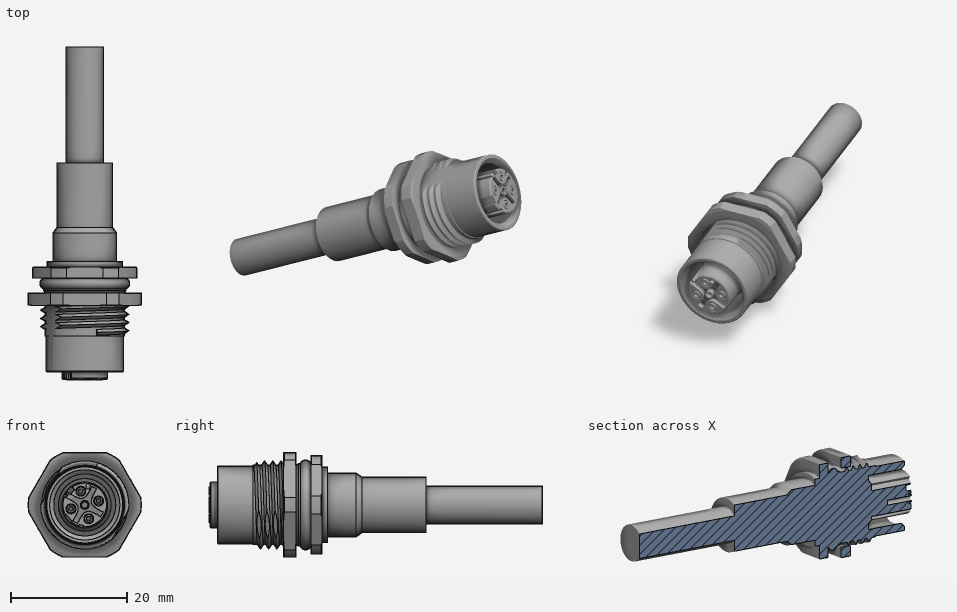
import cadquery as cq
import math


INSERT_FACE = 0.1
SLEEVE_FACE = 1.4
RELIEF_START = 7.55
CAVITY_FLOOR = 9.0
NUT_START, NUT_END = 12.8, 14.95
COLLAR_START, COLLAR_END = 17.55, 19.45
DISC_END = 20.4
BODY_STEP, BODY_END = 25.3, 26.3
GRIP_END = 37.4
CABLE_END = 57.4

CABLE_RADIUS = 3.25
GRIP_RADIUS = 4.8
BODY_RADIUS = 5.5
DISC_RADIUS = 6.5
NECK_RADIUS = 7.1
NECK_TAPER_LENGTH = 0.45
THREAD_ROOT_RADIUS = 6.85
SLEEVE_RADIUS = 6.7
SLEEVE_EDGE_CHAMFER = 0.15

SEAL_OUTER_RADIUS = 7.75
SEAL_SECTION_RADIUS = 0.95
SEAL_CENTRE = COLLAR_START - SEAL_SECTION_RADIUS

NUT_FLATS, NUT_CORNER_RADIUS = 18.0, 9.75
NUT_FACE_RADIUS, NUT_FACE_BEVEL = 9.1, 0.15
NUT_BORE_RADIUS = 7.45
COLLAR_FLATS, COLLAR_CORNER_RADIUS = 17.0, 9.05
COLLAR_BEVEL = 0.2

THREAD_RADIUS = 7.6
THREAD_PITCH = 1.41
THREAD_START, THREAD_END = 8.2, 14.2
THREAD_START_ANGLE = 73.0
THREAD_BASE_WIDTH = 1.2
THREAD_OVERLAP = 0.15

FLAT_ANGLE = 151.0
NEAR_FLAT_DISTANCE = 6.65
FAR_FLAT_DISTANCE = 7.05

MOUTH_RADIUS, BORE_RADIUS = 6.05, 5.35
MOUTH_DEPTH = 0.8
INSERT_RADIUS = 3.95
INSERT_EDGE_CHAMFER = 0.2
INSERT_FOOT_RADIUS, INSERT_FOOT_HEIGHT = 4.55, 0.6
CONTACT_COUNT = 4
CONTACT_CIRCLE_RADIUS = 2.47
CONTACT_FIRST_ANGLE = 16.0
CONTACT_WELL_RADIUS, CONTACT_WELL_DEPTH = 0.85, 0.4
CONTACT_RADIUS = 0.7
CONTACT_HOLE_RADIUS, CONTACT_HOLE_DEPTH = 0.4, 5.0
CROSS_ARM_LENGTH, CROSS_ARM_WIDTH = 3.4, 0.9
CROSS_HUB_RADIUS = 2.0
CROSS_DEPTH = 1.0
CONTACT_TOWER_RADIUS = 1.25
POST_RADIUS = 0.75
POST_HOLE_RADIUS = 0.55
GROOVES = [(134.0, 1.2, 3.1), (155.0, 0.5, 3.5), (220.0, 1.6, 3.5), (260.0, 0.8, 3.5)]
POCKET_ANGLE, POCKET_WIDTH, POCKET_DEPTH = 80.0, 0.7, 1.0
POCKET_INNER, POCKET_OUTER = 2.8, 3.7


def cylinder(radius, start, end):
    """Solid cylinder on the Y axis."""
    return cq.Workplane("XZ", origin=(0, start, 0)).circle(radius).extrude(start - end)


def cone(start_radius, end_radius, start, end):
    """Solid truncated cone on the Y axis."""
    profile = [(0, start), (start_radius, start), (end_radius, end), (0, end)]
    return cq.Workplane("XY").polyline(profile).close().revolve(360, (0, 0, 0), (0, 1, 0))


def hexagon(across_flats, start, end):
    """Hexagonal prism with two flats facing +Z and -Z."""
    across_corners = across_flats / math.cos(math.pi / 6)
    return cq.Workplane("XZ", origin=(0, start, 0)).polygon(6, across_corners).extrude(start - end)


def turned_about_axis(shape, angle):
    """Turn a shape from +X towards +Z about the Y axis."""
    return shape.rotate((0, 0, 0), (0, 1, 0), -angle)


def bar(inner, outer, width, start, end):
    """Block reaching along +X from inner to outer, centred on Z = 0."""
    block = cq.Workplane("XY").box(outer - inner, end - start, width, centered=(False, False, True))
    return block.translate((inner, start, 0))


def cable_end():
    body = cylinder(CABLE_RADIUS, GRIP_END, CABLE_END)
    body = body.union(cylinder(GRIP_RADIUS, BODY_END, GRIP_END))
    body = body.union(cone(BODY_RADIUS, GRIP_RADIUS, BODY_STEP, BODY_END))
    body = body.union(cylinder(BODY_RADIUS, DISC_END, BODY_STEP))
    return body.union(cylinder(DISC_RADIUS, COLLAR_END, DISC_END))


def collar():
    rounding = cylinder(COLLAR_CORNER_RADIUS, COLLAR_START, COLLAR_END).faces(">Y").chamfer(COLLAR_BEVEL)
    return hexagon(COLLAR_FLATS, COLLAR_START, COLLAR_END).intersect(rounding)


def seal_ring():
    section_centre = SEAL_OUTER_RADIUS - SEAL_SECTION_RADIUS
    section = cq.Workplane("XY").center(-section_centre, SEAL_CENTRE).circle(SEAL_SECTION_RADIUS)
    return section.revolve(360, (section_centre, 0, 0), (section_centre, 1, 0))


def nut():
    bevel_end = NUT_START + NUT_FACE_BEVEL
    rounding = cone(NUT_FACE_RADIUS, NUT_CORNER_RADIUS, NUT_START, bevel_end)
    rounding = rounding.union(cylinder(NUT_CORNER_RADIUS, bevel_end, NUT_END))
    body = hexagon(NUT_FLATS, NUT_START, NUT_END).intersect(rounding)
    return body.cut(cylinder(NUT_BORE_RADIUS, NUT_START, NUT_END))


def thread():
    """Right-hand triangular ridge, wound on Z and then laid along Y."""
    inner_radius = THREAD_ROOT_RADIUS - THREAD_OVERLAP
    half_width = THREAD_BASE_WIDTH / 2
    path = cq.Wire.makeHelix(THREAD_PITCH, THREAD_END - THREAD_START, inner_radius)
    ridge = (
        cq.Workplane("XZ")
        .polyline([(inner_radius, -half_width), (THREAD_RADIUS, 0), (inner_radius, half_width)])
        .close()
        .sweep(cq.Workplane(obj=path), isFrenet=True)
    )
    ridge = ridge.rotate((0, 0, 0), (1, 0, 0), -90).translate((0, THREAD_START, 0))
    return turned_about_axis(ridge, THREAD_START_ANGLE)


def cut_flats(shape):
    """Remove everything beyond the two flats."""
    for angle, distance in [(FLAT_ANGLE, NEAR_FLAT_DISTANCE), (FLAT_ANGLE + 180, FAR_FLAT_DISTANCE)]:
        flat = bar(distance, 2 * THREAD_RADIUS, 2 * THREAD_RADIUS, 0, COLLAR_START)
        shape = shape.cut(turned_about_axis(flat, angle))
    return shape


def barrel():
    """Sleeve and threaded length, with the flats cut along both."""
    core = cylinder(SLEEVE_RADIUS, SLEEVE_FACE, RELIEF_START).faces("<Y").chamfer(SLEEVE_EDGE_CHAMFER)
    core = core.union(cylinder(THREAD_ROOT_RADIUS, RELIEF_START, NUT_END))
    body = cut_flats(core).union(cut_flats(thread()))
    taper_end = NUT_END + NECK_TAPER_LENGTH
    body = body.union(cone(THREAD_ROOT_RADIUS, NECK_RADIUS, NUT_END, taper_end))
    return body.union(cylinder(NECK_RADIUS, taper_end, COLLAR_START))


def cavity():
    mouth_end = SLEEVE_FACE + MOUTH_DEPTH
    mouth = cone(MOUTH_RADIUS, BORE_RADIUS, SLEEVE_FACE, mouth_end)
    return mouth.union(cylinder(BORE_RADIUS, mouth_end, CAVITY_FLOOR))


def at_contacts(shape):
    """Copies of an axial shape at every contact place."""
    copies = cq.Workplane("XY")
    for index in range(CONTACT_COUNT):
        angle = CONTACT_FIRST_ANGLE + index * 360 / CONTACT_COUNT
        copies = copies.add(turned_about_axis(shape.translate((CONTACT_CIRCLE_RADIUS, 0, 0)), angle))
    return copies.combine()


def cross_recess():
    """Cross between the contacts, scalloped around each contact tower."""
    end = INSERT_FACE + CROSS_DEPTH
    recess = cylinder(CROSS_HUB_RADIUS, INSERT_FACE, end)
    recess = recess.cut(at_contacts(cylinder(CONTACT_TOWER_RADIUS, INSERT_FACE, end)))
    for index in range(CONTACT_COUNT):
        angle = CONTACT_FIRST_ANGLE + (index + 0.5) * 360 / CONTACT_COUNT
        arm = bar(0, CROSS_ARM_LENGTH, CROSS_ARM_WIDTH, INSERT_FACE, end)
        recess = recess.union(turned_about_axis(arm, angle))
    return recess


def insert():
    body = cylinder(INSERT_RADIUS, INSERT_FACE, CAVITY_FLOOR).faces("<Y").chamfer(INSERT_EDGE_CHAMFER)
    for angle, width, floor in GROOVES:
        groove = bar(floor, 2 * INSERT_RADIUS, width, INSERT_FACE, CAVITY_FLOOR)
        body = body.cut(turned_about_axis(groove, angle))
    pocket = bar(POCKET_INNER, POCKET_OUTER, POCKET_WIDTH, INSERT_FACE, INSERT_FACE + POCKET_DEPTH)
    body = body.cut(turned_about_axis(pocket, POCKET_ANGLE))
    foot_start = CAVITY_FLOOR - INSERT_FOOT_HEIGHT
    body = body.union(cone(INSERT_RADIUS, INSERT_FOOT_RADIUS, foot_start, CAVITY_FLOOR))
    body = body.cut(cross_recess())
    cross_floor = INSERT_FACE + CROSS_DEPTH
    body = body.union(cylinder(POST_RADIUS, INSERT_FACE, cross_floor))
    body = body.cut(cylinder(POST_HOLE_RADIUS, INSERT_FACE, cross_floor))
    well_floor = INSERT_FACE + CONTACT_WELL_DEPTH
    body = body.cut(at_contacts(cylinder(CONTACT_WELL_RADIUS, INSERT_FACE, well_floor)))
    body = body.union(at_contacts(cylinder(CONTACT_RADIUS, 0, well_floor)))
    return body.cut(at_contacts(cylinder(CONTACT_HOLE_RADIUS, 0, CONTACT_HOLE_DEPTH)))


result = barrel().cut(cavity()).union(insert())
result = result.union(nut()).union(seal_ring()).union(collar()).union(cable_end())